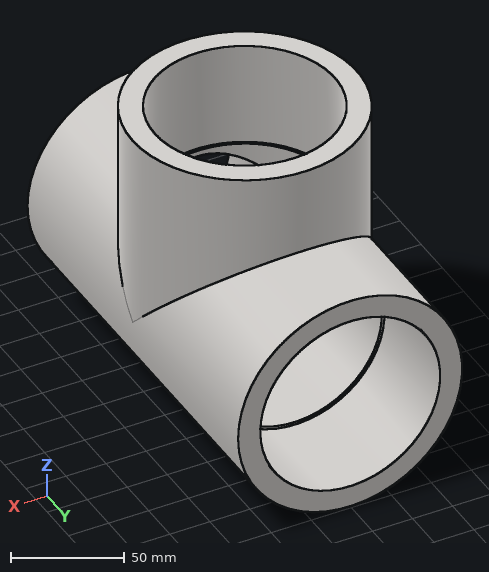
import cadquery as cq

run_length = 198.0
outer_diameter = 112.0
socket_diameter = 89.9
bore_diameter = 87.1
socket_depth = 52.3

arm_length = run_length / 2
shoulder_distance = arm_length - socket_depth


def run_cylinder(diameter, half_length):
    """Cylinder along Y, centred on the tee's centre."""
    return cq.Workplane("XZ").circle(diameter / 2).extrude(half_length, both=True)


def branch_cylinder(diameter, start, end):
    """Cylinder along Z between two heights above the run axis."""
    return cq.Workplane("XY").workplane(offset=start).circle(diameter / 2).extrude(end - start)


body = run_cylinder(outer_diameter, arm_length).union(branch_cylinder(outer_diameter, 0, arm_length))

body = body.cut(run_cylinder(bore_diameter, arm_length))
body = body.cut(branch_cylinder(bore_diameter, 0, arm_length))

run_sockets = run_cylinder(socket_diameter, arm_length).cut(run_cylinder(outer_diameter, shoulder_distance))
branch_socket = branch_cylinder(socket_diameter, shoulder_distance, arm_length)

result = body.cut(run_sockets).cut(branch_socket)